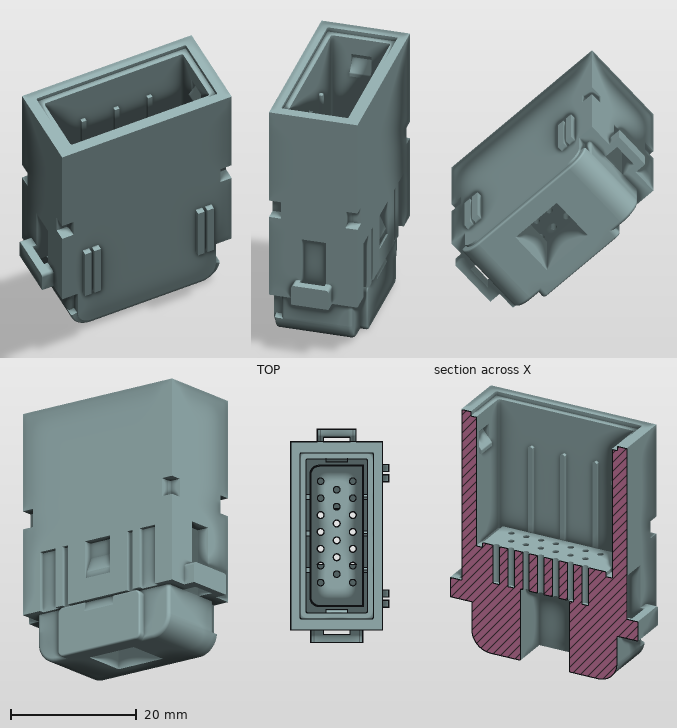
import cadquery as cq


total_height = 41.95
body_width = 14.65
body_length = 29.95
body_bottom = 8.3
body_height = total_height - body_bottom
body_left = -body_width / 2
body_right = body_width / 2
body_end = body_length / 2

rim_width = 11.6
rim_length = 26.43
rim_depth = 0.75
rim_corner = 0.2
cavity_width = 9.8
cavity_length = 24.5
cavity_floor = 18.45
cavity_corner = 0.35

insert_width = 8.55
insert_length = 22.5
insert_height = 0.85
insert_corner = 1.5
insert_bevel = 0.15
contact_diameter = 1.05
contact_pitch = 2.7
contact_column_pitch = 2.55
contact_outer_count = 7
contact_middle_count = 6
contact_shift = 0.65
contact_depth = 6.7

guide_width = 0.8
guide_pitch = 5.85
guide_shift = 0.38
guide_top = 34.4
guide_ridge = 0.25

latch_width = 3.5
latch_top = 38.25
latch_ramp_top = 37.0
latch_ramp_bottom = 35.03
latch_bottom = 34.4
latch_depth = 1.17
latch_overhang = 0.5
latch_nose = 0.35

notch_size = 2.0
notch_bottom = 22.65
notch_height = 3.0
notch_bevel_x = 0.5
notch_bevel_y = 0.2

lug_reach = 2.0
lug_bar = 1.35
lug_height = 3.5
front_lug_width = 8.3
back_lug_width = 6.2
lug_round = 0.5
lug_slot_width = 4.15
lug_slot_depth = 2.05
lug_slot_top = 19.4

rib_reach = 0.95
rib_width = 1.15
rib_pitch = 1.65
rib_pair_centre = 10.0
groove_top = 18.15

groove_depth = 0.85
wide_groove_width = 3.05
wide_groove_centre = 10.0
narrow_groove_width = 1.1
narrow_groove_centre = 6.45
window_width = 5.05
window_bottom = 12.0
window_depth = 1.45
catch_width = 4.7
catch_top = 15.65
catch_ramp_bottom = 13.1
catch_thickness = 1.15

plug_length = 26.35
plug_corner = 3.5
plug_edge = 0.55
plug_inset = 1.5
foot_slope = 0.35
foot_inset = 0.38
foot_edge = 0.3
outlet_width = 7.55
outlet_length = 8.8
outlet_shift = -0.13

panel_length = 16.45
panel_inset = 0.3
panel_corner = 0.95
panel_edge = 0.3
panel_top = 8.2
rear_panel_step = 1.0
thumb_width = 5.87
thumb_bottom = 6.63
thumb_depth = 0.67


def block(x_range, y_range, z_range):
    """Box between pairs of limits along X, Y and Z."""
    size = [high - low for low, high in (x_range, y_range, z_range)]
    corner = (x_range[0], y_range[0], z_range[0])
    return cq.Workplane("XY").box(*size, centered=False).translate(corner)


def around(centre, width):
    """Limits of a span of the given width about a centre."""
    return (centre - width / 2, centre + width / 2)


def prism_along_y(points, width):
    """Prism with an (X, Z) outline, centred on Y = 0."""
    return cq.Workplane("XZ").polyline(points).close().extrude(width / 2, both=True)


def prism_along_x(points, width):
    """Prism with a (Y, Z) outline, centred on X = 0."""
    return cq.Workplane("YZ").polyline(points).close().extrude(width / 2, both=True)


def both_ends(shape):
    """The shape together with its mirror image across Y = 0."""
    return shape.union(shape.mirror("XZ"))


def housing():
    """Housing block with its stepped rim and cavity."""
    cavity_height = total_height - cavity_floor
    outer = cq.Workplane("XY").box(body_width, body_length, body_height, centered=(True, True, False))
    rim = cq.Workplane("XY").box(rim_width, rim_length, rim_depth, centered=(True, True, False))
    rim = rim.edges("|Z").fillet(rim_corner)
    cavity = cq.Workplane("XY").box(cavity_width, cavity_length, cavity_height, centered=(True, True, False))
    cavity = cavity.edges("|Z").fillet(cavity_corner)
    return (
        outer.translate((0, 0, body_bottom))
        .cut(rim.translate((0, 0, total_height - rim_depth)))
        .cut(cavity.translate((0, 0, cavity_floor)))
    )


def contact_insert():
    """Raised insert, rounded at its two -X corners."""
    insert = cq.Workplane("XY").box(insert_width, insert_length, insert_height, centered=(True, True, False))
    insert = insert.edges("|Z and <X").fillet(insert_corner)
    insert = insert.faces(">Z").chamfer(insert_bevel)
    return insert.translate((0, 0, cavity_floor))


def contact_holes():
    """Three staggered columns of contact holes."""
    points = []
    for column in (-1, 0, 1):
        count = contact_outer_count if column else contact_middle_count
        for row in range(count):
            y = contact_shift + (row - (count - 1) / 2) * contact_pitch
            points.append((column * contact_column_pitch, y))
    top = cavity_floor + insert_height
    return (
        cq.Workplane("XY", origin=(0, 0, top))
        .pushPoints(points)
        .circle(contact_diameter / 2)
        .extrude(-contact_depth)
    )


def guide_ribs():
    """Upright ribs filling the gap between the long cavity walls and the insert."""
    ribs = cq.Workplane("XY")
    wall = cavity_width / 2
    gap = wall - insert_width / 2
    for row in (-1, 0, 1):
        y_low, y_high = around(guide_shift + row * guide_pitch, guide_width)
        eaves = guide_top - guide_ridge
        gabled = (
            cq.Workplane("YZ", origin=(wall - gap, 0, 0))
            .polyline([
                (y_low, cavity_floor),
                (y_high, cavity_floor),
                (y_high, eaves),
                ((y_low + y_high) / 2, guide_top),
                (y_low, eaves),
            ])
            .close()
            .extrude(gap)
        )
        flat = block((-wall, -wall + gap), (y_low, y_high), (cavity_floor, guide_top))
        ribs = ribs.union(gabled).union(flat)
    return ribs


def latch_pocket():
    """Pocket in the +Y cavity wall above the latch ramp."""
    wall = cavity_length / 2
    return block(around(0, latch_width), (wall, wall + latch_depth), (latch_bottom, latch_top))


def latch_ramp():
    """Ramp that rises out of the latch pocket into the cavity."""
    wall = cavity_length / 2
    outline = [
        (wall + latch_depth, latch_ramp_top),
        (wall - latch_overhang, latch_ramp_bottom),
        (wall - latch_overhang, latch_bottom),
        (wall + latch_depth, latch_bottom),
    ]
    ramp = prism_along_x(outline, latch_width)
    nose = cq.selectors.NearestToPointSelector((0, wall - latch_overhang, latch_ramp_bottom))
    return ramp.edges("|X").edges(nose).fillet(latch_nose)


def corner_notches():
    """Notches at all four upright edges, bevelled in their inner corner."""
    notch = (
        cq.Workplane("XY", origin=(body_left, -body_end, notch_bottom))
        .lineTo(notch_size, 0)
        .lineTo(notch_size, notch_size - notch_bevel_y)
        .lineTo(notch_size - notch_bevel_x, notch_size)
        .lineTo(0, notch_size)
        .close()
        .extrude(notch_height)
    )
    return both_ends(notch.union(notch.mirror("YZ")))


def lug(width):
    """Lug on the -Y end, with rounded upper side edges."""
    shape = block(
        around(0, width),
        (-body_end - lug_reach, -body_end),
        (body_bottom, body_bottom + lug_height),
    )
    return shape.edges("|Y and >Z").fillet(lug_round)


def lug_slot():
    """Slot in the -Y end that runs down behind the lug bar."""
    return block(
        around(0, lug_slot_width),
        (-body_end - lug_reach + lug_bar, -body_end + lug_slot_depth),
        (body_bottom, lug_slot_top),
    )


def polarising_ribs():
    """Two pairs of ribs on the +X side."""
    ribs = cq.Workplane("XY")
    for side in (-1, 1):
        for offset in (-rib_pitch / 2, rib_pitch / 2):
            y_range = around(side * rib_pair_centre + offset, rib_width)
            x_range = (body_right, body_right + rib_reach)
            ribs = ribs.union(block(x_range, y_range, (body_bottom, groove_top)))
    return ribs


def side_grooves():
    """Upright grooves in the -X side, open at the bottom."""
    grooves = cq.Workplane("XY")
    x_range = (body_left, body_left + groove_depth)
    for centre, width in (
        (wide_groove_centre, wide_groove_width),
        (narrow_groove_centre, narrow_groove_width),
    ):
        groove = block(x_range, around(centre, width), (body_bottom, groove_top))
        grooves = grooves.union(both_ends(groove))
    return grooves


def side_window():
    """Blind window in the -X side."""
    x_range = (body_left, body_left + window_depth)
    return block(x_range, around(0, window_width), (window_bottom, groove_top))


def window_catch():
    """Ramped catch standing on the window floor."""
    back = body_left + window_depth
    front = back - catch_thickness
    outline = [
        (back, catch_top),
        (front, catch_ramp_bottom),
        (front, window_bottom),
        (back, window_bottom),
    ]
    return prism_along_y(outline, catch_width)


def rounded_plate(x_range, step=0.0):
    """Plug-shaped slab with large lower corners, its outline stepped in by the given amount."""
    plate = block(x_range, around(0, plug_length - 2 * step), (step, body_bottom))
    return plate.edges("|X and <Z").fillet(plug_corner - step)


def plug():
    """Plug core with softened sides and a wider foot towards +X."""
    core = rounded_plate((body_left + plug_inset, body_right - plug_inset))
    core = core.faces("<X").edges("not >Z").fillet(plug_edge)
    core = core.faces(">X").edges("not >Z").fillet(plug_edge)
    foot = rounded_plate((0, body_right - foot_inset))
    foot = foot.faces(">X").edges("not >Z").fillet(foot_edge)
    foot_start = body_right - plug_inset - plug_edge
    side = plug_length / 2
    foot_zone = (
        cq.Workplane("YZ", origin=(foot_start, 0, 0))
        .polyline([
            (-side, 0),
            (side, 0),
            (side, plug_corner - foot_slope),
            (side - rear_panel_step, plug_corner),
            (rear_panel_step - side, plug_corner),
            (-side, plug_corner - foot_slope),
        ])
        .close()
        .extrude(body_right - foot_start)
    )
    return core.union(foot.intersect(foot_zone))


def front_panel():
    """Grip panel on the -X side with a sloping thumb recess at its top."""
    face = body_left + panel_inset
    panel = block((face, body_left + plug_inset + plug_edge), around(0, panel_length), (0, panel_top))
    panel = panel.edges("|X").fillet(panel_corner)
    panel = panel.faces("<X").edges().fillet(panel_edge)
    recess = [(face, thumb_bottom), (face + thumb_depth, panel_top), (face, panel_top)]
    neck = block(
        (face + thumb_depth, body_left + plug_inset + plug_edge),
        around(0, panel_length - 2 * panel_corner),
        (panel_top - panel_corner, body_bottom),
    )
    return panel.union(neck).cut(prism_along_y(recess, thumb_width))


def rear_panel():
    """Plain panel on the +X side, flush with the housing."""
    return rounded_plate((body_right - plug_inset - plug_edge, body_right), rear_panel_step)


def cable_outlet():
    """Opening from the underside up to the contact holes."""
    top = cavity_floor + insert_height - contact_depth
    return block(around(0, outlet_width), around(outlet_shift, outlet_length), (0, top))


result = housing().union(plug()).union(front_panel()).union(rear_panel())
result = result.union(contact_insert()).union(guide_ribs()).union(polarising_ribs())
result = result.union(lug(front_lug_width)).union(lug(back_lug_width).mirror("XZ"))
result = result.cut(corner_notches()).cut(side_grooves()).cut(side_window())
result = result.cut(both_ends(lug_slot()))
result = result.cut(both_ends(latch_pocket())).union(both_ends(latch_ramp()))
result = result.union(window_catch()).cut(contact_holes()).cut(cable_outlet())